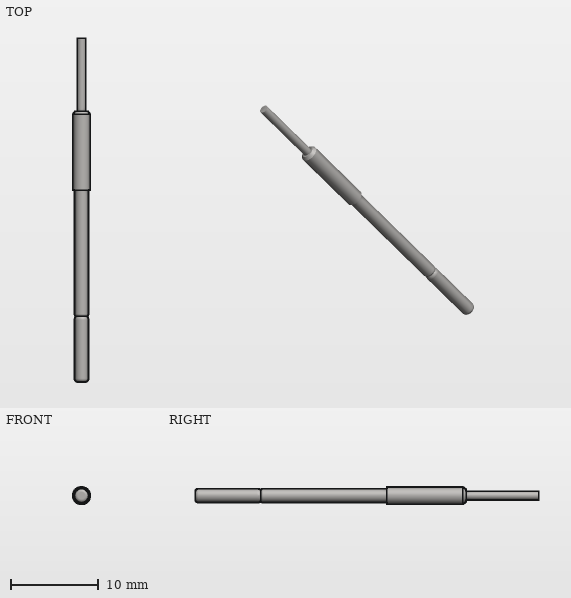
import cadquery as cq

total_length = 39.3
tail_length = 8.35
collar_length = 9.05
collar_radius = 2.0 / 2
barrel_radius = 1.6 / 2
tail_radius = 1.02 / 2

collar_chamfer_length = 0.35
collar_chamfer_depth = 0.28
tip_round = 0.4

groove_start = 7.15
groove_lower_shoulder = 0.35
groove_upper_shoulder = 0.28
groove_depth = 0.15

tip_y = -total_length / 2
tail_end_y = total_length / 2
collar_top_y = tail_end_y - tail_length
collar_bottom_y = collar_top_y - collar_length
groove_bottom_y = tip_y + groove_start
groove_floor_y = groove_bottom_y + groove_lower_shoulder
groove_top_y = groove_floor_y + groove_upper_shoulder
groove_radius = barrel_radius - groove_depth


def arc_radius(run, rise):
    """Radius of an arc that starts tangent to the run and moves off it by the rise."""
    return (run**2 + rise**2) / (2 * rise)


def half_profile():
    """Closed outline of half the pin: radius along X, length along Y."""
    return (
        cq.Workplane("XY")
        .moveTo(0, tip_y)
        .lineTo(barrel_radius - tip_round, tip_y)
        .radiusArc((barrel_radius, tip_y + tip_round), -tip_round)
        .lineTo(barrel_radius, groove_bottom_y)
        .radiusArc((groove_radius, groove_floor_y), -arc_radius(groove_lower_shoulder, groove_depth))
        .radiusArc((barrel_radius, groove_top_y), -arc_radius(groove_upper_shoulder, groove_depth))
        .lineTo(barrel_radius, collar_bottom_y)
        .lineTo(collar_radius, collar_bottom_y)
        .lineTo(collar_radius, collar_top_y - collar_chamfer_length)
        .lineTo(collar_radius - collar_chamfer_depth, collar_top_y)
        .lineTo(tail_radius, collar_top_y)
        .lineTo(tail_radius, tail_end_y)
        .lineTo(0, tail_end_y)
        .close()
    )


result = half_profile().revolve(360, (0, 0, 0), (0, 1, 0))